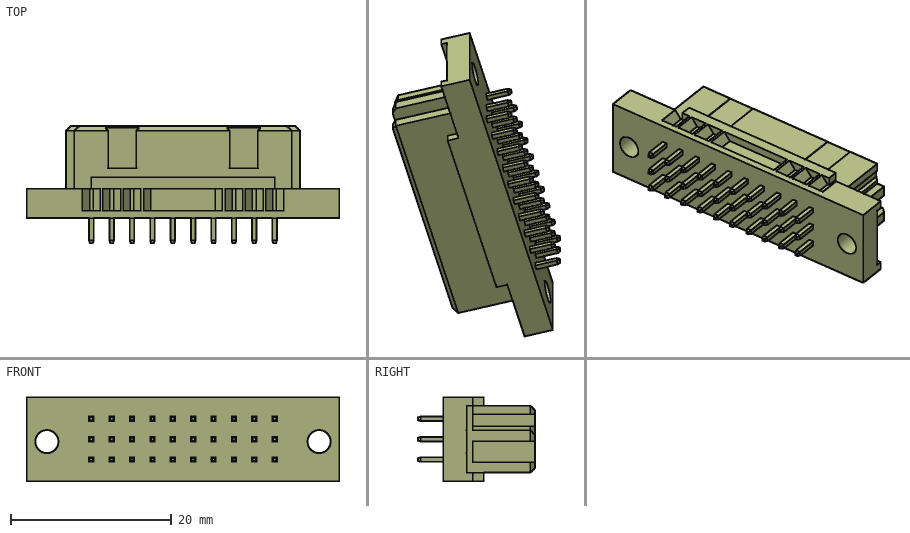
import cadquery as cq


FLANGE_LENGTH = 39.0
FLANGE_HEIGHT = 10.5
FLANGE_THICKNESS = 3.68
RECESS_FLOOR_Y = 2.95
FLANGE_TOP = FLANGE_HEIGHT / 2
MOUNT_HOLE_DIAMETER = 2.85
MOUNT_HOLE_SPACING = 33.95
MOUNT_HOLE_Z = -0.3

HOUSING_TOP = 4.18
HOUSING_FACE_Y = 11.5
HOUSING_LOWER_HALF = 14.6
HOUSING_UPPER_HALF = 13.55
HOUSING_STEP_Z = 1.12
HOUSING_CHAMFER = 0.6

LIP_HALF_LENGTH = 11.43
LIP_END_Y = 5.08

END_SLOTS = [(-2.87, -0.28), (1.59, 3.1)]
END_SLOT_FLOOR = HOUSING_UPPER_HALF - HOUSING_CHAMFER

GROOVE_WIDTH = 3.55
GROOVE_SPACING = 15.15
GROOVE_START_Y = 6.25
GROOVE_DEPTH = 0.38
GROOVE_UNDERCUT = 0.27

PIN_PITCH = 2.54
PIN_COLUMNS = 10
PIN_ROWS = 3
PIN_WIDTH = 0.6
PIN_LENGTH = 3.15
PIN_TIP_LENGTH = 0.38
PIN_TIP_WIDTH = 0.35

POCKET_START_Y = 0.93
POCKET_DEPTH = FLANGE_TOP - HOUSING_TOP
POCKET_SLOPE = 0.88
KEY_POCKET_WIDTH = 2.22
KEY_POCKET_COLUMNS = (2.5, 3.5, 4.5)
CENTRE_POCKET_WIDTH = 9.8


def box(x_range, y_range, z_range):
    """Box between the given (low, high) limits."""
    lows, highs = zip(x_range, y_range, z_range)
    size = [high - low for low, high in zip(lows, highs)]
    return cq.Workplane("XY").box(*size, centered=False).translate(lows)


def along_y(points, y_start, y_end):
    """Prism of an XZ outline between two Y positions."""
    plane = cq.Workplane("XZ", origin=(0, y_start, 0))
    return plane.polyline(points).close().extrude(y_start - y_end)


def trapezoid_prism(x_centre, top_width, floor_width, top_z, depth, y_start, y_end):
    """Prism along Y with different widths at its top and its floor."""
    top = top_width / 2
    floor = floor_width / 2
    floor_z = top_z - depth
    points = [
        (x_centre - top, top_z),
        (x_centre + top, top_z),
        (x_centre + floor, floor_z),
        (x_centre - floor, floor_z),
    ]
    return along_y(points, y_start, y_end)


def make_flange():
    half_length = FLANGE_LENGTH / 2
    x_range = (-half_length, half_length)
    flange = box(x_range, (0, FLANGE_THICKNESS), (-FLANGE_TOP, FLANGE_TOP))
    recess = box(x_range, (RECESS_FLOOR_Y, FLANGE_THICKNESS), (-HOUSING_TOP, HOUSING_TOP))
    holes = (
        cq.Workplane("XZ")
        .pushPoints([(side * MOUNT_HOLE_SPACING / 2, MOUNT_HOLE_Z) for side in (-1, 1)])
        .circle(MOUNT_HOLE_DIAMETER / 2)
        .extrude(-FLANGE_THICKNESS)
    )
    return flange.cut(recess).cut(holes)


def make_housing():
    outline = [
        (-HOUSING_LOWER_HALF, -HOUSING_TOP),
        (HOUSING_LOWER_HALF, -HOUSING_TOP),
        (HOUSING_LOWER_HALF, HOUSING_STEP_Z),
        (HOUSING_UPPER_HALF, HOUSING_STEP_Z),
        (HOUSING_UPPER_HALF, HOUSING_TOP),
        (-HOUSING_UPPER_HALF, HOUSING_TOP),
        (-HOUSING_UPPER_HALF, HOUSING_STEP_Z),
        (-HOUSING_LOWER_HALF, HOUSING_STEP_Z),
    ]
    shell = along_y(outline, FLANGE_THICKNESS, HOUSING_FACE_Y)
    shell = shell.faces(">Y").chamfer(HOUSING_CHAMFER)
    base = box(
        (-HOUSING_LOWER_HALF, HOUSING_LOWER_HALF),
        (RECESS_FLOOR_Y, FLANGE_THICKNESS),
        (-HOUSING_TOP, HOUSING_TOP),
    )
    return shell.union(base)


def cut_end_slots(body):
    y_range = (FLANGE_THICKNESS, HOUSING_FACE_Y)
    for z_range in END_SLOTS:
        body = body.cut(box((-HOUSING_LOWER_HALF, -END_SLOT_FLOOR), y_range, z_range))
        body = body.cut(box((END_SLOT_FLOOR, HOUSING_LOWER_HALF), y_range, z_range))
    return body


def cut_top_grooves(body):
    floor_width = GROOVE_WIDTH + 2 * GROOVE_UNDERCUT
    for side in (-1, 1):
        groove = trapezoid_prism(
            side * GROOVE_SPACING / 2,
            GROOVE_WIDTH,
            floor_width,
            HOUSING_TOP,
            GROOVE_DEPTH,
            GROOVE_START_Y,
            HOUSING_FACE_Y,
        )
        body = body.cut(groove)
    return body


def add_lips(body):
    x_range = (-LIP_HALF_LENGTH, LIP_HALF_LENGTH)
    y_range = (FLANGE_THICKNESS, LIP_END_Y)
    body = body.union(box(x_range, y_range, (HOUSING_TOP, FLANGE_TOP)))
    return body.union(box(x_range, y_range, (-FLANGE_TOP, -HOUSING_TOP)))


def cut_flange_pockets(body):
    pockets = [(0, CENTRE_POCKET_WIDTH)]
    for column in KEY_POCKET_COLUMNS:
        for side in (-1, 1):
            pockets.append((side * column * PIN_PITCH, KEY_POCKET_WIDTH))
    for x_centre, width in pockets:
        pocket = trapezoid_prism(
            x_centre,
            width,
            width - 2 * POCKET_SLOPE,
            FLANGE_TOP,
            POCKET_DEPTH,
            POCKET_START_Y,
            FLANGE_THICKNESS,
        )
        body = body.cut(pocket)
    return body


def make_pin(x_centre, z_centre):
    """Square pin pointing toward -Y with a tapered tip."""
    tip_start = PIN_LENGTH - PIN_TIP_LENGTH
    shank = (
        cq.Workplane("XZ", origin=(x_centre, 0, z_centre))
        .rect(PIN_WIDTH, PIN_WIDTH)
        .extrude(tip_start)
    )
    tip = (
        cq.Workplane("XZ", origin=(x_centre, -tip_start, z_centre))
        .rect(PIN_WIDTH, PIN_WIDTH)
        .workplane(offset=PIN_TIP_LENGTH)
        .rect(PIN_TIP_WIDTH, PIN_TIP_WIDTH)
        .loft()
    )
    return shank.union(tip)


def add_pins(body):
    for column in range(PIN_COLUMNS):
        for row in range(PIN_ROWS):
            x_centre = (column - (PIN_COLUMNS - 1) / 2) * PIN_PITCH
            z_centre = (row - (PIN_ROWS - 1) / 2) * PIN_PITCH
            body = body.union(make_pin(x_centre, z_centre))
    return body


result = make_flange().union(make_housing())
result = cut_end_slots(result)
result = cut_top_grooves(result)
result = add_lips(result)
result = cut_flange_pockets(result)
result = add_pins(result)